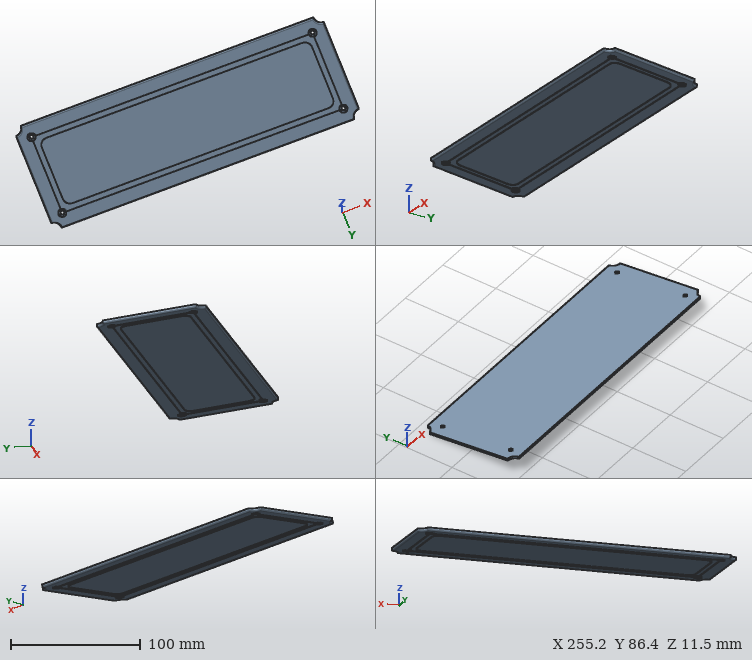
import cadquery as cq
import math

LENGTH = 255.2
OVERALL_DEPTH = 86.42
THICKNESS = 2.5
UNDERSIDE_FILLET = 1.0
TILT_DEGREES = 6.0

CORNER_NOTCH_RADIUS = 6.2
NOTCH_EDGE_FILLET = 0.5
HOLE_DIAMETER = 3.2
HOLE_INSET = 11.0

COUNTERBORE_DIAMETER = 6.4
COUNTERBORE_DEPTH = 1.0
GROOVE_WIDTH = 4.5
GROOVE_DEPTH = 0.5
GROOVE_INNER_CORNER_RADIUS = 6.0

TILT = math.radians(TILT_DEGREES)
EDGE_HEIGHT = THICKNESS - UNDERSIDE_FILLET
WIDTH = (OVERALL_DEPTH - EDGE_HEIGHT * math.sin(TILT)) / math.cos(TILT)

HOLE_SPACING_X = LENGTH - 2 * HOLE_INSET
HOLE_SPACING_Y = WIDTH - 2 * HOLE_INSET


def corner_discs(spacing_x, spacing_y, diameter, height):
    """Four discs rising from the underside, on the corners of a centred rectangle."""
    corners = cq.Workplane("XY").rect(spacing_x, spacing_y, forConstruction=True).vertices()
    return corners.circle(diameter / 2).extrude(height)


def make_plate():
    """Flat plate with concave round corners and a filleted underside rim."""
    plate = cq.Workplane("XY").box(LENGTH, WIDTH, THICKNESS, centered=(True, True, False))
    plate = plate.cut(corner_discs(LENGTH, WIDTH, 2 * CORNER_NOTCH_RADIUS, THICKNESS))
    plate = plate.edges("|Z").fillet(NOTCH_EDGE_FILLET)
    return plate.faces("<Z").edges().fillet(UNDERSIDE_FILLET)


def make_groove():
    """Shallow rectangular ring with rounded inner corners."""
    outer = cq.Workplane("XY").rect(HOLE_SPACING_X, HOLE_SPACING_Y).extrude(GROOVE_DEPTH)
    island_length = HOLE_SPACING_X - 2 * GROOVE_WIDTH
    island_width = HOLE_SPACING_Y - 2 * GROOVE_WIDTH
    island = cq.Workplane("XY").rect(island_length, island_width).extrude(GROOVE_DEPTH)
    return outer.cut(island.edges("|Z").fillet(GROOVE_INNER_CORNER_RADIUS))


def make_counterbored_holes():
    """Through holes with counterbores opening on the underside."""
    holes = corner_discs(HOLE_SPACING_X, HOLE_SPACING_Y, HOLE_DIAMETER, THICKNESS)
    counterbores = corner_discs(
        HOLE_SPACING_X, HOLE_SPACING_Y, COUNTERBORE_DIAMETER, COUNTERBORE_DEPTH
    )
    return holes.union(counterbores)


flat_plate = make_plate().cut(make_groove()).cut(make_counterbored_holes())

result = flat_plate.rotate((0, 0, 0), (1, 0, 0), -TILT_DEGREES)